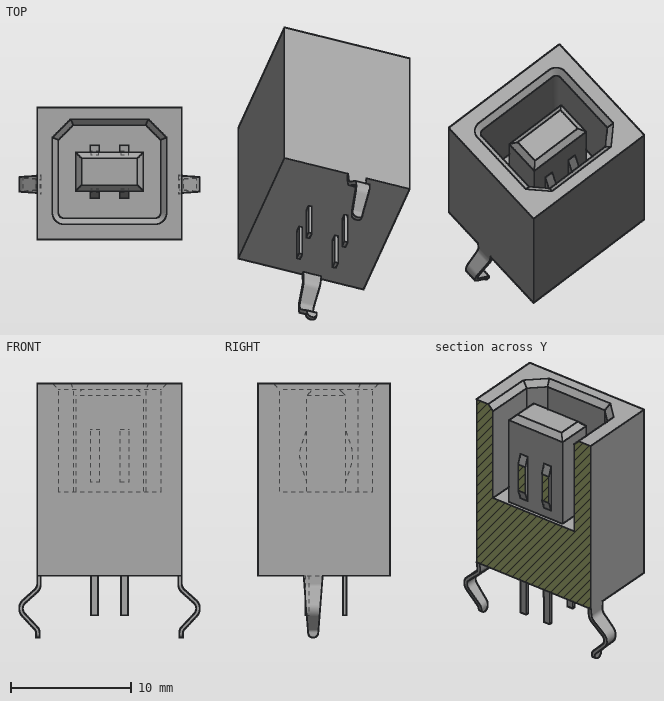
import cadquery as cq
import math

body_width = 12.04
body_depth = 11.0
body_height = 16.0

mating_offset_y = 0.157
cavity_width = 8.5
cavity_length = 7.75
cavity_depth = 9.0
cavity_corner_cut = 1.24
cavity_corner_radius = 0.45
lead_in = 0.5

tongue_width = 5.64
tongue_length = 3.23
tongue_recess = 0.5
tongue_chamfer = 0.5

contact_pitch = 2.48
contact_width = 0.75
contact_reach = 0.587
contact_slope = math.radians(18.8)
contact_bow_radius = 2.7
contact_height = 3.0

pin_width = 0.6
pin_thickness = 0.3
pin_length = 3.29
pin_row_spacing = 3.14

overall_width = 15.04
overall_height = 21.15
clip_thickness = 0.32
clip_center_y = -0.9
clip_root_width = 1.6
clip_tip_width = 0.87
clip_tip_x = 6.12
clip_knee_z = -2.72
clip_knee_radius = 0.937
clip_upper_angle = math.radians(42)
clip_lower_angle = math.radians(47)
clip_upper_bend_radius = 0.63
clip_lower_bend_radius = 0.34

clip_root_x = body_width / 2
clip_tip_z = body_height - overall_height
clip_knee_x = overall_width / 2 - clip_knee_radius
cavity_floor_z = body_height - cavity_depth
tongue_height = cavity_depth - tongue_recess
sides = (-1, 1)


def cavity_outline(plane_z, growth):
    """Cavity section: cut corners on +Y, round corners on -Y, grown outwards by `growth`."""
    half_width = cavity_width / 2 + growth
    half_length = cavity_length / 2 + growth
    corner_cut = cavity_corner_cut + growth * (2 - math.sqrt(2))
    radius = cavity_corner_radius + growth
    arc_inset = radius * (1 - math.sqrt(0.5))
    return (
        cq.Workplane("XY", origin=(0, mating_offset_y, plane_z))
        .moveTo(half_width - corner_cut, half_length)
        .lineTo(half_width, half_length - corner_cut)
        .lineTo(half_width, radius - half_length)
        .threePointArc((half_width - arc_inset, arc_inset - half_length), (half_width - radius, -half_length))
        .lineTo(radius - half_width, -half_length)
        .threePointArc((arc_inset - half_width, arc_inset - half_length), (-half_width, radius - half_length))
        .lineTo(-half_width, half_length - corner_cut)
        .lineTo(corner_cut - half_width, half_length)
        .close()
    )


def make_housing():
    """Box with the mating cavity and its flared lead-in."""
    box = cq.Workplane("XY").box(body_width, body_depth, body_height, centered=(True, True, False))
    cavity = cavity_outline(cavity_floor_z, 0).extrude(cavity_depth)
    lower_wire = cavity_outline(body_height - lead_in, 0).val()
    upper_wire = cavity_outline(body_height, lead_in).val()
    flare = cq.Solid.makeLoft([lower_wire, upper_wire], True)
    return box.cut(cavity).cut(cq.Workplane(flare))


def make_tongue():
    """Rectangular tongue with a chamfered top rim."""
    tongue = (
        cq.Workplane("XY", origin=(0, mating_offset_y, cavity_floor_z))
        .rect(tongue_width, tongue_length)
        .extrude(tongue_height)
    )
    top_rim = tongue.faces(">Z").edges()
    return top_rim.chamfer(tongue_chamfer)


def make_contact(x, side):
    """Bowed contact on the tongue's +Y (side = 1) or -Y (side = -1) face."""
    bow_rise = contact_bow_radius * (1 - math.cos(contact_slope))
    bow_half_height = contact_bow_radius * math.sin(contact_slope)
    slope_rise = contact_reach - bow_rise
    half_height = bow_half_height + slope_rise / math.tan(contact_slope)
    face_y = tongue_length / 2
    bow_y = face_y + slope_rise
    return (
        cq.Workplane("YZ", origin=(x, mating_offset_y, cavity_floor_z + contact_height))
        .moveTo(side * face_y, half_height)
        .lineTo(side * bow_y, bow_half_height)
        .threePointArc((side * (face_y + contact_reach), 0), (side * bow_y, -bow_half_height))
        .lineTo(side * face_y, -half_height)
        .close()
        .extrude(contact_width / 2, both=True)
    )


def make_pin(x, side):
    """Straight solder pin hanging from the underside."""
    y = mating_offset_y + side * pin_row_spacing / 2
    return cq.Workplane("XY", origin=(x, y, 0)).rect(pin_width, pin_thickness).extrude(-pin_length)


def bend_center_drop(face_x, bend_radius, slope_angle):
    """Height between the knee centre and the centre of a bend whose outer face is at `face_x`."""
    center_x = face_x + bend_radius
    radius_sum = clip_knee_radius + bend_radius
    straight_run = clip_knee_x + radius_sum * math.sin(slope_angle) - center_x
    return radius_sum * math.cos(slope_angle) + straight_run * math.tan(slope_angle)


def clip_face(shift):
    """XZ points of a strip face `shift` inside the outer face: top, three arcs as start-mid-end, bottom."""
    upper_z = clip_knee_z + bend_center_drop(clip_root_x, clip_upper_bend_radius, clip_upper_angle)
    lower_z = clip_knee_z - bend_center_drop(clip_tip_x, clip_lower_bend_radius, clip_lower_angle)
    upper_normal = math.pi / 2 - clip_upper_angle
    lower_normal = clip_lower_angle - math.pi / 2
    bends = [
        ((clip_root_x + clip_upper_bend_radius, upper_z),
         clip_upper_bend_radius + shift, math.pi, math.pi + upper_normal),
        ((clip_knee_x, clip_knee_z), clip_knee_radius - shift, upper_normal, lower_normal),
        ((clip_tip_x + clip_lower_bend_radius, lower_z),
         clip_lower_bend_radius + shift, math.pi + lower_normal, math.pi),
    ]
    points = [(clip_root_x - shift, 0)]
    for (center_x, center_z), radius, start, end in bends:
        for angle in (start, (start + end) / 2, end):
            points.append((center_x + radius * math.cos(angle), center_z + radius * math.sin(angle)))
    points.append((clip_tip_x - shift, clip_tip_z))
    return points


def trace_bends(sketch, points):
    """Continue `sketch` along face points: a line, then an arc, for each of the three bends."""
    for start, middle, end in (points[1:4], points[4:7], points[7:10]):
        sketch = sketch.lineTo(*start).threePointArc(middle, end)
    return sketch.lineTo(*points[-1])


def make_clip():
    """Retention clip at the +X end: a bent strip, tapered in Y to a rounded tip."""
    outer_face = clip_face(0)
    inner_face = clip_face(clip_thickness)
    sketch = cq.Workplane("XZ", origin=(0, clip_center_y, 0)).moveTo(*outer_face[0])
    sketch = trace_bends(sketch, outer_face)
    sketch = trace_bends(sketch.lineTo(*inner_face[-1]), inner_face[::-1])
    strip = sketch.close().extrude(clip_root_width / 2, both=True)

    tip_radius = clip_tip_width / 2
    tip_center_z = clip_tip_z + tip_radius
    taper = (
        cq.Workplane("YZ", origin=(0, clip_center_y, 0))
        .moveTo(-clip_root_width / 2, 0)
        .lineTo(-tip_radius, tip_center_z)
        .threePointArc((0, clip_tip_z), (tip_radius, tip_center_z))
        .lineTo(clip_root_width / 2, 0)
        .close()
        .extrude(overall_width / 2)
    )
    return strip.intersect(taper)


result = make_housing().union(make_tongue())
for row_side in sides:
    for column_side in sides:
        column_x = column_side * contact_pitch / 2
        result = result.union(make_contact(column_x, row_side))
        result = result.union(make_pin(column_x, row_side))

clip = make_clip()
result = result.union(clip).union(clip.mirror("YZ"))